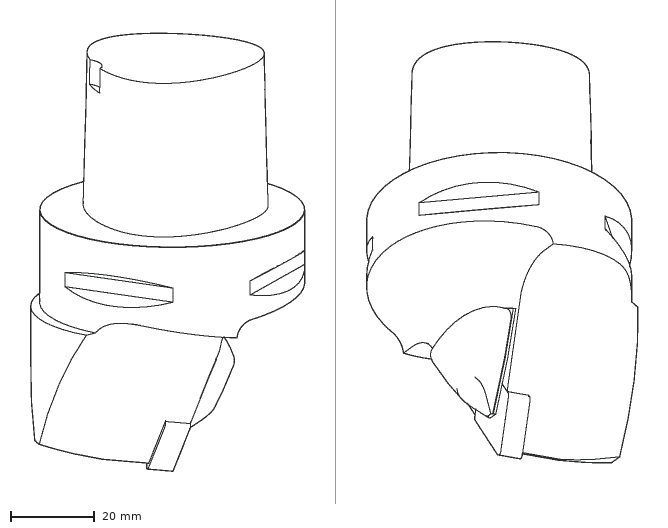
import cadquery as cq
import math


shank_height = 37.9
shank_base_radius = 21.9
shank_top_radius = 21.0
shank_lobe = 1.4
shank_points = 36
notch_radius = 5.8
notch_center_y = -23.7
notch_depth = 6.1

gauge_face_diameter = 63.0
flange_diameter = 63.2
flange_height = 24.2
slot_center_z = -11.9
slot_floor_distance = 28.1
slot_floor_height = 3.5
slot_flare_angle = 30.0
slot_cut_depth = 6.2

head_radius = 29.3
head_center_y = -4.7
head_ledge_z = -23.1
head_ledge_drop = 0.5
front_wall_y = 6.1
front_edge_z = -18.0
underside_slope = 5.0
front_corner_radius = 4.3
overall_height = 103.0
tip_z = shank_height - overall_height
rake_angle = 10.0
included_angle = 55.0
wedge_apex_height = 0.9
wedge_tip_half_width = 0.3
shoulder_height = 41.7
shoulder_radius = 10.0
heel_back = (head_center_y - head_radius, -54.8)
heel_middle = (-20.2, -59.7)
heel_front = (-6.2, -62.8)

clamp_base_thickness = 0.7
clamp_base_margin = 0.3
clamp_thickness = 6.9
clamp_peak_height = 35.8
clamp_corner_height = 31.9
clamp_break_height = 21.6
clamp_slope_height = 18.0
clamp_nose_height = 10.3
clamp_half_width = 14.4
clamp_break_half_width = 8.5
clamp_nose_half_width = 0.8
clamp_corner_radius = 2.6
clamp_edge_radius = 3.1
clamp_nose_thickness = 1.2

insert_inscribed_diameter = 12.7
insert_thickness = 6.4
insert_nose_radius = 0.8

big = 103.0

half_angle = math.radians(included_angle / 2)
rake = math.radians(rake_angle)

rake_plane = cq.Plane(
    origin=(0, 0, tip_z),
    xDir=(-1, 0, 0),
    normal=(0, math.cos(rake), -math.sin(rake)),
)


def polygon_section(mean_radius, z):
    """Closed three-lobed curve with one lobe toward +Y."""
    points = []
    for i in range(shank_points):
        a = 2 * math.pi * i / shank_points
        x = mean_radius * math.sin(a) - shank_lobe * math.sin(2 * a)
        y = mean_radius * math.cos(a) + shank_lobe * math.cos(2 * a)
        points.append(cq.Vector(x, y, z))
    return cq.Wire.assembleEdges([cq.Edge.makeSpline(points, periodic=True)])


def make_shank():
    sections = [
        polygon_section(shank_base_radius, 0),
        polygon_section(shank_top_radius, shank_height),
    ]
    shank = cq.Workplane(obj=cq.Solid.makeLoft(sections, True))
    notch = (
        cq.Workplane("XY", origin=(0, notch_center_y, shank_height - notch_depth))
        .circle(notch_radius)
        .extrude(notch_depth)
    )
    return shank.cut(notch)


def make_flange():
    """Disc with a fine chamfer around the gauge face."""
    return (
        cq.Workplane("XY")
        .circle(flange_diameter / 2)
        .extrude(-flange_height)
        .faces(">Z")
        .edges()
        .chamfer((flange_diameter - gauge_face_diameter) / 2)
    )


def make_gripper_slot():
    """Trapezoidal slot across the +X side of the flange."""
    floor_half = slot_floor_height / 2
    mouth_half = floor_half + slot_cut_depth * math.tan(math.radians(slot_flare_angle))
    mouth_distance = slot_floor_distance + slot_cut_depth
    return (
        cq.Workplane("XZ", origin=(0, 0, slot_center_z))
        .polyline([
            (slot_floor_distance, -floor_half),
            (mouth_distance, -mouth_half),
            (mouth_distance, mouth_half),
            (slot_floor_distance, floor_half),
        ])
        .close()
        .extrude(big / 2, both=True)
    )


def make_head_blank():
    """Eccentric cylinder joined to the flange by a shallow sloping ledge."""
    ledge_z = head_ledge_z - head_ledge_drop
    flange_edge = cq.Wire.makeCircle(
        flange_diameter / 2, cq.Vector(0, 0, head_ledge_z), cq.Vector(0, 0, 1)
    )
    head_edge = cq.Wire.makeCircle(
        head_radius, cq.Vector(0, head_center_y, ledge_z), cq.Vector(0, 0, 1)
    )
    ledge = cq.Workplane(obj=cq.Solid.makeLoft([flange_edge, head_edge], True))
    column = (
        cq.Workplane("XY", origin=(0, head_center_y, ledge_z))
        .circle(head_radius)
        .extrude(tip_z - ledge_z)
    )
    return ledge.union(column)


def make_wedge_envelope():
    """Prism square to the rake face: a V that flares through fillets into a wide shoulder."""
    slope = math.tan(half_angle)
    tip_height = wedge_apex_height + wedge_tip_half_width / slope
    center_height = shoulder_height - shoulder_radius
    tangent_height = center_height + shoulder_radius * math.sin(half_angle)
    tangent_x = (tangent_height - wedge_apex_height) * slope
    center_x = tangent_x + shoulder_radius * math.cos(half_angle)
    middle_angle = (half_angle + math.pi / 2) / 2
    middle_x = center_x - shoulder_radius * math.cos(middle_angle)
    middle_height = center_height + shoulder_radius * math.sin(middle_angle)
    return (
        cq.Workplane(rake_plane)
        .moveTo(-wedge_tip_half_width, tip_height)
        .lineTo(wedge_tip_half_width, tip_height)
        .lineTo(tangent_x, tangent_height)
        .threePointArc((middle_x, middle_height), (center_x, shoulder_height))
        .lineTo(big, shoulder_height)
        .lineTo(big, 2 * big)
        .lineTo(-big, 2 * big)
        .lineTo(-big, shoulder_height)
        .lineTo(-center_x, shoulder_height)
        .threePointArc((-middle_x, middle_height), (-tangent_x, tangent_height))
        .close()
        .extrude(big, both=True)
    )


def make_side_envelope():
    """Side outline of flange and head: sloped underside, front wall, rake face and heel."""
    radius = flange_diameter / 2
    corner_z = front_edge_z - (radius - front_wall_y) * math.tan(math.radians(underside_slope))
    wall_bottom_z = tip_z + front_wall_y / math.tan(rake)
    envelope = (
        cq.Workplane("YZ")
        .moveTo(radius, 0)
        .lineTo(radius, front_edge_z)
        .lineTo(front_wall_y, corner_z)
        .lineTo(front_wall_y, wall_bottom_z)
        .lineTo(0, tip_z)
        .lineTo(*heel_front)
        .threePointArc(heel_middle, heel_back)
        .lineTo(heel_back[0], 0)
        .close()
        .extrude(big, both=True)
    )
    corner = cq.selectors.NearestToPointSelector((0, front_wall_y, corner_z))
    return envelope.edges("|X").edges(corner).fillet(front_corner_radius)


def clamp_plan(margin, thickness):
    """Clamp outline on the rake face, grown sideways by the margin."""
    wide = clamp_half_width + margin
    middle = clamp_break_half_width + margin
    narrow = clamp_nose_half_width + margin
    return (
        cq.Workplane(rake_plane)
        .moveTo(-narrow, clamp_nose_height)
        .lineTo(narrow, clamp_nose_height)
        .lineTo(middle, clamp_break_height)
        .lineTo(wide, clamp_corner_height)
        .threePointArc((0, clamp_peak_height), (-wide, clamp_corner_height))
        .lineTo(-middle, clamp_break_height)
        .close()
        .extrude(thickness)
    )


def make_clamp():
    """Clamp on a thin base, with its front sloping back to the nose."""
    body = clamp_plan(0, clamp_thickness)
    body = body.edges(cq.selectors.ParallelDirSelector(rake_plane.zDir)).edges(">Z").fillet(
        clamp_corner_radius
    )
    nose_cut = (
        cq.Workplane(cq.Plane(rake_plane.origin, rake_plane.zDir, (1, 0, 0)))
        .polyline([
            (clamp_thickness, clamp_slope_height),
            (clamp_nose_thickness, clamp_nose_height),
            (clamp_thickness, clamp_nose_height),
        ])
        .close()
        .extrude(big, both=True)
    )
    front_edges = body.cut(nose_cut).faces(
        cq.selectors.DirectionMinMaxSelector(rake_plane.zDir, True)
    ).edges()
    body = front_edges.fillet(clamp_edge_radius)
    base = clamp_plan(clamp_base_margin, clamp_base_thickness)
    return body.union(base)


def make_insert():
    """Rhombic insert with all four corners rounded."""
    edge = insert_inscribed_diameter / math.sin(2 * half_angle)
    side_x = edge * math.sin(half_angle)
    side_height = edge * math.cos(half_angle)
    apex_height = insert_nose_radius * (1 - 1 / math.sin(half_angle))
    return (
        cq.Workplane(rake_plane)
        .polyline([
            (0, apex_height),
            (side_x, apex_height + side_height),
            (0, apex_height + 2 * side_height),
            (-side_x, apex_height + side_height),
        ])
        .close()
        .extrude(-insert_thickness)
        .edges(cq.selectors.ParallelDirSelector(rake_plane.zDir))
        .fillet(insert_nose_radius)
    )


def make_holder(insert):
    """Shank, flange, head and clamp as one solid, with a seat for the insert."""
    flange = make_flange()
    slot = make_gripper_slot()
    for quarter in range(4):
        flange = flange.cut(slot.rotate((0, 0, 0), (0, 0, 1), 45 + 90 * quarter))
    tool = flange.union(make_head_blank())
    tool = tool.intersect(make_side_envelope()).intersect(make_wedge_envelope())
    return tool.union(make_shank()).union(make_clamp()).cut(insert)


insert = make_insert()
holder = make_holder(insert)

result = cq.Compound.makeCompound([holder.val(), insert.val()])